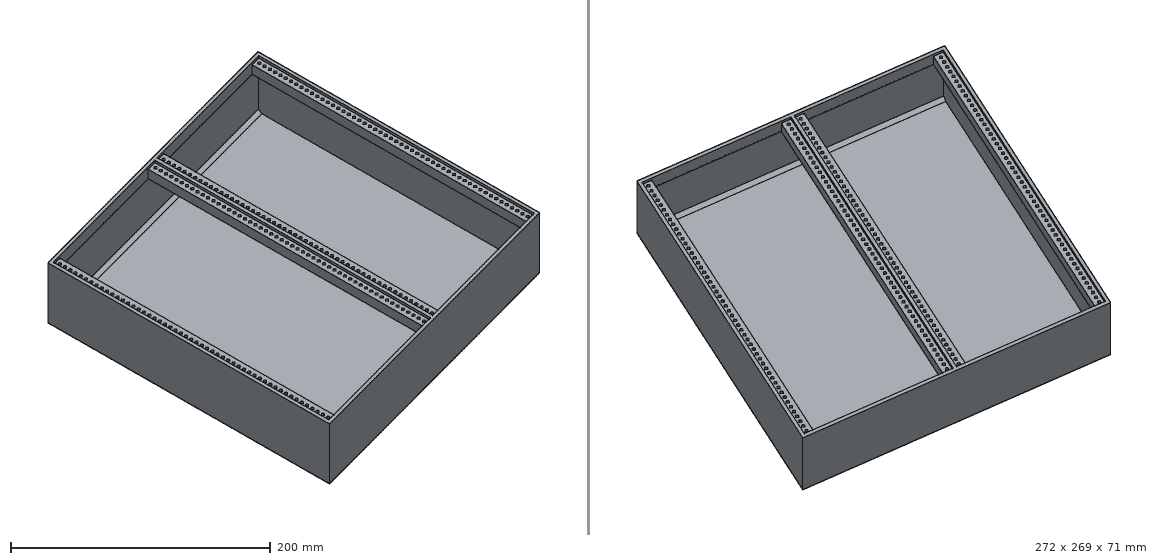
import cadquery as cq

length_x = 272.0
width_y = 269.0
height_z = 71.0

rim_wall = 3.0
lower_wall = 2.0
divider_thickness = 3.0
floor_thickness = 3.0
floor_chamfer = 3.3

rail_width = 8.5
rail_height = 11.1
panel_recess = 3.0

hole_diameter = 2.5
holes_per_rail = 52
hole_row_length = 259.0
hole_pitch = hole_row_length / (holes_per_rail - 1)
hole_row_spacing = 122.5

opening_x = length_x - 2 * rim_wall
opening_y = width_y - 2 * rim_wall
bay_y = (opening_y - divider_thickness) / 2
bay_centres = [-(bay_y + divider_thickness) / 2, (bay_y + divider_thickness) / 2]
rail_top = height_z - panel_recess
rail_bottom = rail_top - rail_height


def block(size_x, size_y, size_z, centre_y, bottom_z):
    """Box centred on X, placed by its Y centre and its bottom face."""
    return (
        cq.Workplane("XY")
        .box(size_x, size_y, size_z, centered=(True, True, False))
        .translate((0, centre_y, bottom_z))
    )


def open_box():
    """Tray with walls that thicken into a rim, and a chamfer where the floor meets the X walls."""
    opening = block(opening_x, opening_y, height_z - rail_bottom, 0, rail_bottom)
    cavity = block(
        length_x - 2 * lower_wall,
        width_y - 2 * lower_wall,
        rail_bottom - floor_thickness,
        0,
        floor_thickness,
    )
    cavity = cavity.edges("<Z and |Y").chamfer(floor_chamfer)
    return block(length_x, width_y, height_z, 0, 0).cut(opening).cut(cavity)


def divider():
    """Bar between the bays, as deep as the rails and flush with the rim."""
    return block(opening_x, divider_thickness, height_z - rail_bottom, 0, rail_bottom)


def rail(bay_centre, side):
    """Rail against one long edge of a bay, set below the rim."""
    centre_y = bay_centre + side * (bay_y - rail_width) / 2
    return block(opening_x, rail_width, rail_height, centre_y, rail_bottom)


def screw_holes(bay_centre, side):
    """Row of holes running through a rail."""
    return (
        cq.Workplane("XY", origin=(0, bay_centre + side * hole_row_spacing / 2, rail_bottom))
        .rarray(hole_pitch, 2.7, holes_per_rail, 1)
        .circle(hole_diameter / 2)
        .extrude(rail_height)
    )


result = open_box().union(divider())
for bay_centre in bay_centres:
    for side in (-1, 1):
        drilled_rail = rail(bay_centre, side).cut(screw_holes(bay_centre, side))
        result = result.union(drilled_rail)